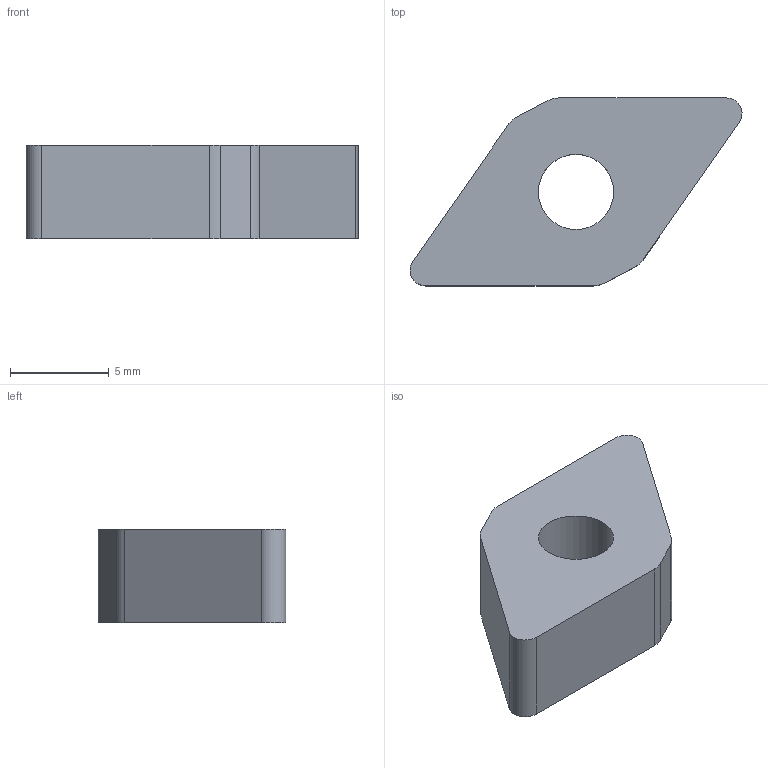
import cadquery as cq
import math

inscribed_diameter = 9.525
thickness = 4.7625
hole_diameter = 3.81
nose_angle = 55.0
nose_radius = 0.79375
facet_blend_radius = 1.2

half_angle = math.radians(nose_angle / 2)
inscribed_radius = inscribed_diameter / 2
nose_x = inscribed_radius / math.tan(half_angle)
blunt_x = inscribed_radius * math.tan(half_angle)

blunt_distance = inscribed_radius / math.cos(half_angle)
facet_setback = (blunt_distance - inscribed_radius) / math.sin(half_angle)


def half_outline(side):
    """Three consecutive corners of the outline; side is +1 for the upper half, -1 for the lower."""
    nose_angle_radians = 2 * half_angle
    nose = (nose_x, inscribed_radius)
    facet_start = (facet_setback - blunt_x, inscribed_radius)
    facet_end = (
        -blunt_x - facet_setback * math.cos(nose_angle_radians),
        inscribed_radius - facet_setback * math.sin(nose_angle_radians),
    )
    return [(side * x, side * y) for x, y in (nose, facet_start, facet_end)]


def insert_body():
    """Prism with blended facets at the blunt corners and rounded noses."""
    prism = (
        cq.Workplane("XY")
        .polyline(half_outline(1) + half_outline(-1))
        .close()
        .extrude(thickness)
    )
    blended = prism.edges("|Z and (not (>X or <X))").fillet(facet_blend_radius)
    return blended.edges("|Z and (>X or <X)").fillet(nose_radius)


def clamping_hole():
    """Cylinder through the full thickness on the insert axis."""
    return cq.Workplane("XY").circle(hole_diameter / 2).extrude(thickness)


result = insert_body().cut(clamping_hole())